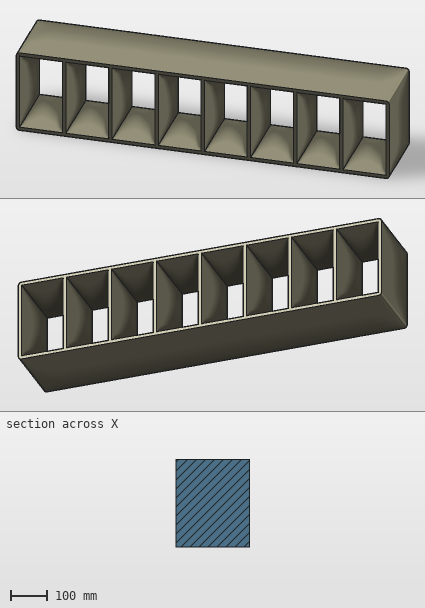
import cadquery as cq

length = 1054.0
depth = 200.0
height = 238.0
wall_thickness = 10.0
cell_count = 8
corner_radius = 10.0

cell_pitch = (length - wall_thickness) / cell_count
cell_width = cell_pitch - wall_thickness
cell_height = height - 2 * wall_thickness


def make_body():
    """Solid block with its four long outer corners rounded along the depth."""
    return cq.Workplane("XY").box(length, depth, height).edges("|Y").fillet(corner_radius)


def make_cell(index):
    """Open cell running through the full depth; index counts from the -X end."""
    center_x = (index - (cell_count - 1) / 2) * cell_pitch
    return cq.Workplane("XY").box(cell_width, depth, cell_height).translate((center_x, 0, 0))


result = make_body()
for cell_index in range(cell_count):
    result = result.cut(make_cell(cell_index))